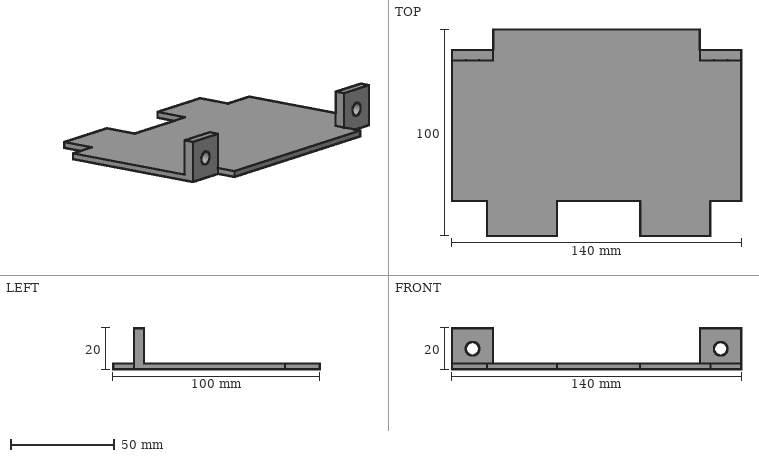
import cadquery as cq

length = 140.0
depth = 100.0
height = 20.0

plate_thickness = 3.0
rear_tongue_depth = 10.0
front_tab_depth = 17.0
front_tab_width = 34.0
left_tab_inset = 17.0
tab_gap = 40.0

ear_width = 20.0
ear_thickness = 5.0
hole_diameter = 6.5

body_front = front_tab_depth
body_rear = depth - rear_tongue_depth
right_tab_start = left_tab_inset + front_tab_width + tab_gap


def block(x, y, size_x, size_y, size_z):
    """Box standing on the bottom plane with its low corner at (x, y)."""
    return cq.Workplane("XY").box(size_x, size_y, size_z, centered=False).translate((x, y, 0))


def ear(x):
    """Upright ear with a through hole along Y at its centre."""
    upright = block(x, body_rear - ear_thickness, ear_width, ear_thickness, height)
    hole = (
        cq.Workplane("XZ", origin=(x + ear_width / 2, body_rear, height / 2))
        .circle(hole_diameter / 2)
        .extrude(ear_thickness)
    )
    return upright.cut(hole)


result = block(0, body_front, length, body_rear - body_front, plate_thickness)
tongue_length = length - 2 * ear_width
result = result.union(block(ear_width, body_rear, tongue_length, rear_tongue_depth, plate_thickness))

for tab_start in (left_tab_inset, right_tab_start):
    result = result.union(block(tab_start, 0, front_tab_width, front_tab_depth, plate_thickness))

for ear_start in (0, length - ear_width):
    result = result.union(ear(ear_start))